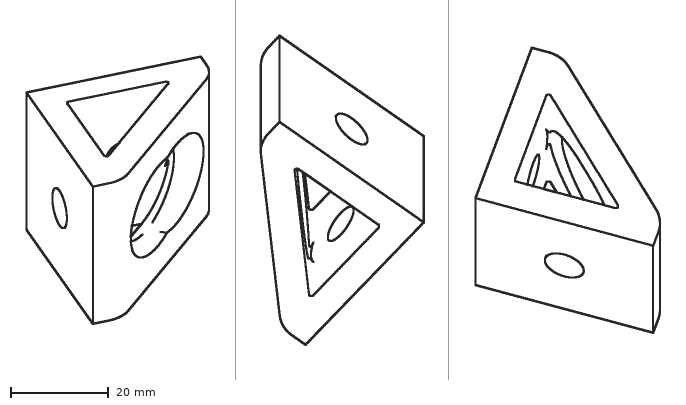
import cadquery as cq

leg = 38.1
height = 33.35
wall = 6.32
end_width = 6.48
brace = 6.48
end_radius = 7.05
pocket_radius = 0.5
hole_diameter = 8.35
access_diameter = 19.2

outer_sum = leg + end_width
inner_sum = outer_sum - brace * 2**0.5
pocket_end = inner_sum - wall


def make_body():
    """Triangular prism with flat leg ends blended into the sloping face."""
    outline = [(0, 0), (leg, 0), (leg, end_width), (end_width, leg), (0, leg)]
    prism = cq.Workplane("XY").polyline(outline).close().extrude(height)
    slope_edges = cq.selectors.BoxSelector((wall / 2, wall / 2, -0.4), (leg + 0.4, leg + 0.4, height + 0.4))
    return prism.edges("|Z").edges(slope_edges).fillet(end_radius)


def make_pocket():
    """Triangular opening through the full height."""
    corners = [(wall, wall), (pocket_end, wall), (wall, pocket_end)]
    return cq.Workplane("XY").polyline(corners).close().extrude(height).edges("|Z").fillet(pocket_radius)


def make_bore(plane, direction):
    """Fastener hole through one leg, widening past it for access through the sloping wall."""
    base = cq.Workplane(plane).center(leg / 2, height / 2)
    hole = base.circle(hole_diameter / 2).extrude(direction * leg)
    access = (
        base.workplane(offset=direction * wall)
        .circle(access_diameter / 2)
        .extrude(direction * (leg - wall))
    )
    return hole.union(access)


bore_along_x = make_bore("YZ", 1)
bore_along_y = make_bore("XZ", -1)
result = make_body().cut(make_pocket()).cut(bore_along_x).cut(bore_along_y)